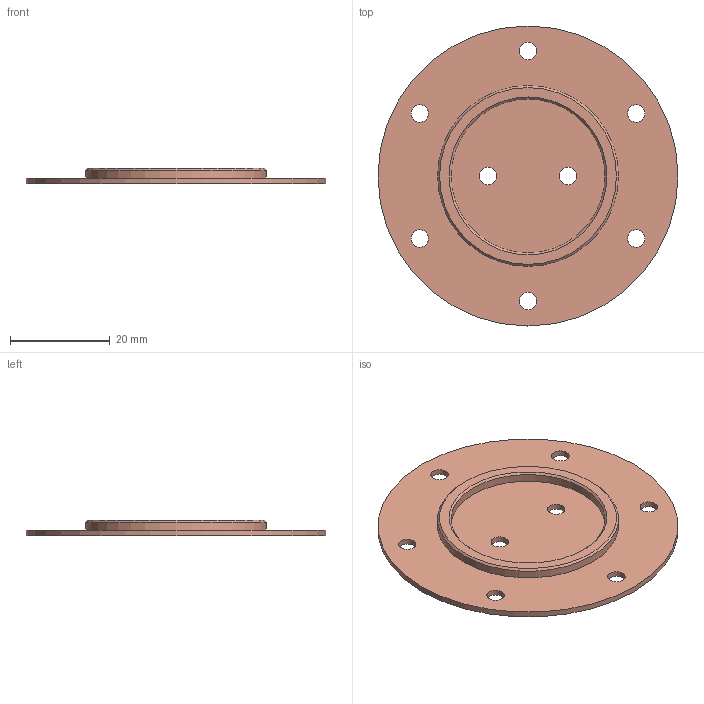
import cadquery as cq

flange_diameter = 60.0
total_height = 3.16
ring_height = 2.0
flange_thickness = total_height - ring_height

ring_outer_diameter = 36.16
ring_inner_diameter = 30.8
ring_chamfer = 0.4

hole_diameter = 3.5
rim_hole_count = 6
rim_hole_circle_radius = 25.0
rim_hole_start_angle = 90.0
center_hole_spacing = 16.0


def make_flange():
    """Flat disc with its underside on Z = 0."""
    return cq.Workplane("XY").circle(flange_diameter / 2).extrude(flange_thickness)


def make_ring():
    """Ring standing on the flange, both top edges chamfered."""
    return (
        cq.Workplane("XY")
        .workplane(offset=flange_thickness)
        .circle(ring_outer_diameter / 2)
        .circle(ring_inner_diameter / 2)
        .extrude(ring_height)
        .faces(">Z")
        .edges()
        .chamfer(ring_chamfer)
    )


def make_hole_cutters():
    """Cylinders for the rim hole circle and the two holes inside the ring."""
    rim_holes = (
        cq.Workplane("XY")
        .polarArray(rim_hole_circle_radius, rim_hole_start_angle, 360, rim_hole_count)
        .circle(hole_diameter / 2)
        .extrude(flange_thickness)
    )
    center_holes = (
        cq.Workplane("XY")
        .rarray(center_hole_spacing, 1, 2, 1)
        .circle(hole_diameter / 2)
        .extrude(flange_thickness)
    )
    return rim_holes.add(center_holes).combine()


result = make_flange().union(make_ring()).cut(make_hole_cutters())